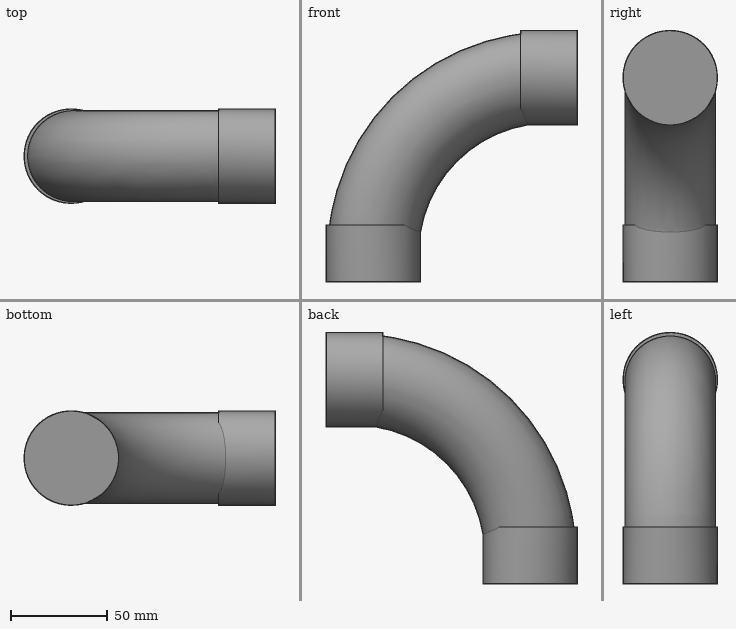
import cadquery as cq

overall_size = 130.5
collar_diameter = 49.1
collar_length = 29.5
pipe_diameter = 47.2

collar_radius = collar_diameter / 2
pipe_radius = pipe_diameter / 2

axis_offset = overall_size - collar_radius

bend_start = collar_length / 2
bend_radius = axis_offset - bend_start


def make_lower_collar():
    return (
        cq.Workplane("XY")
        .center(-axis_offset, 0)
        .circle(collar_radius)
        .extrude(collar_length)
    )


def make_upper_collar():
    return (
        cq.Workplane("YZ", origin=(-collar_length, 0, 0))
        .center(0, axis_offset)
        .circle(collar_radius)
        .extrude(collar_length)
    )


def make_bend():
    """Quarter torus that joins the two collars."""
    return (
        cq.Workplane("XY", origin=(-axis_offset, 0, bend_start))
        .circle(pipe_radius)
        .revolve(90, (bend_radius, 0, 0), (bend_radius, 1, 0))
    )


result = make_lower_collar().union(make_bend()).union(make_upper_collar())